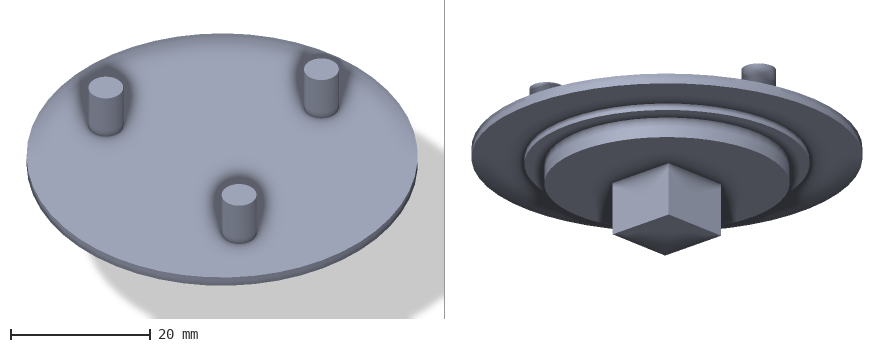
import cadquery as cq

plate_diameter = 56.0
plate_thickness = 1.5

shoulder_diameter = 40.8
shoulder_height = 1.0
boss_diameter = 35.1
boss_height = 3.0

block_side = 11.0
block_height = 7.95

pin_diameter = 5.0
pin_height = 7.0
pin_count = 3
pin_circle_radius = 18.0
first_pin_angle = 90.0


def disc(diameter, height, bottom):
    """Solid cylinder on the central axis."""
    return cq.Workplane("XY").workplane(offset=bottom).circle(diameter / 2).extrude(height)


shoulder_bottom = -shoulder_height
boss_bottom = shoulder_bottom - boss_height
block_bottom = boss_bottom - block_height

plate = disc(plate_diameter, plate_thickness, 0)
shoulder = disc(shoulder_diameter, shoulder_height, shoulder_bottom)
boss = disc(boss_diameter, boss_height, boss_bottom)

block = (
    cq.Workplane("XY")
    .workplane(offset=block_bottom)
    .rect(block_side, block_side)
    .extrude(block_height)
)

pins = (
    cq.Workplane("XY")
    .workplane(offset=plate_thickness)
    .polarArray(pin_circle_radius, first_pin_angle, 360, pin_count)
    .circle(pin_diameter / 2)
    .extrude(pin_height)
)

result = plate.union(shoulder).union(boss).union(block).union(pins)